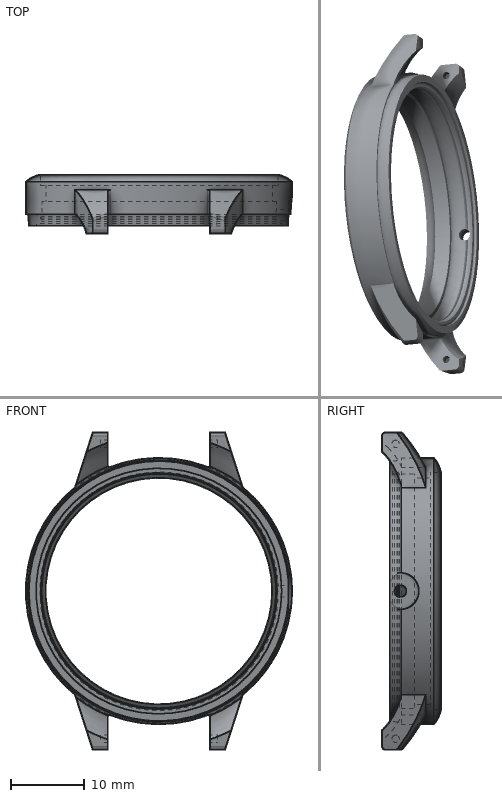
import cadquery as cq
import math


case_radius = 18.25
case_depth = 7.05
bezel_start = 6.05
bezel_bow_radius = 17.1
bezel_bow_depth = 6.78
shoulder_depth = 1.6
collar_base_radius = 17.97
collar_front_radius = 17.8

crystal_seat_radius = 16.25
crystal_seat_depth = 5.55
throat_radius = 15.5
throat_depth = 3.4
chamber_radius = 16.05
snap_lip_chamfer_radial = 0.15
snap_lip_chamfer_axial = 0.25
snap_groove_radius = 16.35
snap_groove_back = 1.3
snap_groove_front = 0.95
caseback_rabbet_radius = 16.82
caseback_rabbet_depth = 0.38

lug_inner_x = 7.0
lug_tip_x = 9.06
lug_root_x = 11.5
lug_tip_z = 21.75
lug_root_z = math.sqrt(case_radius**2 - lug_root_x**2)
lug_front_y = -1.05
lug_back_y = 4.95
lug_foot_radius = 18.45
lug_knee_radius = 21.5
lug_front_bow = (19.9, 0.68)
lug_back_bow = (21.2, 3.05)
lug_back_end = (24.2, 0.3)
lug_embed_radius = 17.3
lug_tip_fillet = 0.5
lug_root_fillet = 0.25

spring_bar_diameter = 1.0
spring_bar_depth = 1.0
spring_bar_y = 0.8
spring_bar_z = 20.2

crown_y = 1.5
crown_hole_diameter = 1.6
crown_recess_radius = 2.5
crown_recess_floor = 17.75


def revolve_about_y(profile):
    """Turn a closed (radius, depth) profile fully around the Y axis."""
    return profile.close().revolve(360, (0, 0, 0), (0, 1, 0))


def make_ring():
    profile = (
        cq.Workplane("XY")
        .moveTo(collar_front_radius, 0)
        .lineTo(collar_base_radius, shoulder_depth)
        .lineTo(case_radius, shoulder_depth)
        .lineTo(case_radius, bezel_start)
        .threePointArc((bezel_bow_radius, bezel_bow_depth), (crystal_seat_radius, case_depth))
        .lineTo(crystal_seat_radius, crystal_seat_depth)
        .lineTo(throat_radius, crystal_seat_depth)
        .lineTo(throat_radius, throat_depth)
        .lineTo(chamber_radius, throat_depth)
        .lineTo(chamber_radius, snap_groove_back)
        .lineTo(snap_groove_radius, (snap_groove_front + snap_groove_back) / 2)
        .lineTo(chamber_radius, snap_groove_front)
        .lineTo(chamber_radius, caseback_rabbet_depth + snap_lip_chamfer_axial)
        .lineTo(chamber_radius + snap_lip_chamfer_radial, caseback_rabbet_depth)
        .lineTo(caseback_rabbet_radius, caseback_rabbet_depth)
        .lineTo(caseback_rabbet_radius, 0)
    )
    return revolve_about_y(profile)


def make_lug():
    """Lug in the +X, +Z quadrant: a turned blank trimmed to a tapered outline."""
    profile = (
        cq.Workplane("XY")
        .moveTo(lug_embed_radius, shoulder_depth)
        .lineTo(lug_foot_radius, shoulder_depth)
        .threePointArc(lug_front_bow, (lug_knee_radius, lug_front_y))
        .lineTo(lug_back_end[0], lug_front_y)
        .lineTo(*lug_back_end)
        .threePointArc(lug_back_bow, (case_radius, lug_back_y))
        .lineTo(lug_embed_radius, lug_back_y)
    )
    blank = revolve_about_y(profile)

    fillet_center_x = lug_inner_x - lug_root_fillet
    fillet_center_distance = case_radius + lug_root_fillet
    fillet_center_z = math.sqrt(fillet_center_distance**2 - fillet_center_x**2)
    foot_x = fillet_center_x * case_radius / fillet_center_distance
    foot_z = fillet_center_z * case_radius / fillet_center_distance
    foot_angle = math.atan2(-fillet_center_z, -fillet_center_x)
    middle_angle = foot_angle / 2
    fillet_middle = (
        fillet_center_x + lug_root_fillet * math.cos(middle_angle),
        fillet_center_z + lug_root_fillet * math.sin(middle_angle),
    )
    outline = (
        cq.Workplane("XZ", origin=(0, lug_back_y, 0))
        .moveTo(foot_x, lug_root_z)
        .lineTo(foot_x, foot_z)
        .threePointArc(fillet_middle, (lug_inner_x, fillet_center_z))
        .lineTo(lug_inner_x, lug_tip_z)
        .lineTo(lug_tip_x, lug_tip_z)
        .lineTo(lug_root_x, lug_root_z)
        .close()
        .extrude(lug_back_y - lug_front_y)
    )
    lug = blank.intersect(outline)
    lug = lug.faces(">Z").edges("<Y or >Y").fillet(lug_tip_fillet)
    hole = (
        cq.Workplane("YZ", origin=(lug_inner_x, spring_bar_y, spring_bar_z))
        .circle(spring_bar_diameter / 2)
        .extrude(spring_bar_depth)
    )
    return lug.cut(hole)


def add_lugs(case):
    right_top = make_lug()
    left_top = right_top.mirror("YZ")
    for lug in (right_top, left_top):
        case = case.union(lug).union(lug.mirror("XY"))
    return case


def cut_crown_opening(case):
    hole = (
        cq.Workplane("YZ", origin=(throat_radius, crown_y, 0))
        .circle(crown_hole_diameter / 2)
        .extrude(case_radius - throat_radius)
    )
    recess = (
        cq.Workplane("YZ", origin=(crown_recess_floor, crown_y, 0))
        .circle(crown_recess_radius)
        .extrude(case_radius - crown_recess_floor)
    )
    return case.cut(hole).cut(recess)


case = add_lugs(make_ring())
result = cut_crown_opening(case)